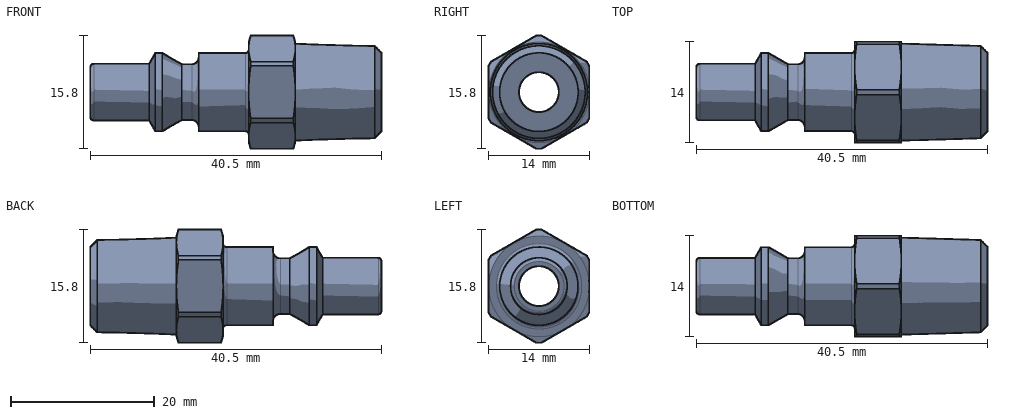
import cadquery as cq
import math

collar_start = 8.2
collar_rim_start = 9.05
collar_rim_end = 10.05
neck_start = 12.75
body_start = 15.05
hex_start = 22.05
hex_end = 28.5
total_length = 40.5

bore_radius = 5.5 / 2
nose_radius = 7.9 / 2
neck_radius = 3.9
body_radius = 10.9 / 2
thread_root_radius = 6.75
thread_end_radius = 6.45

nose_round = 0.5
neck_round = 0.97
shoulder_round = 0.5
thread_chamfer = 0.97

hex_across_flats = 14.0
hex_corner_diameter = 15.8
hex_chamfer_length = 0.3


def quarter_round_middle(center_x, center_r, radius, side_x, side_r):
    """Middle point of a quarter round lying on the given side of its centre."""
    offset = radius * math.sqrt(0.5)
    return (center_x + side_x * offset, center_r + side_r * offset)


def revolve_about_x(profile):
    return profile.close().revolve(360, (0, 0, 0), (1, 0, 0))


def make_turned_body():
    """Plug nose, collar, neck, cylindrical body and tapered thread blank."""
    nose_middle = quarter_round_middle(nose_round, nose_radius - nose_round, nose_round, -1, 1)
    neck_end = body_start - neck_round
    neck_middle = quarter_round_middle(neck_end, neck_radius + neck_round, neck_round, 1, -1)
    shoulder_start = hex_start - shoulder_round
    shoulder_radius = body_radius + shoulder_round
    shoulder_middle = quarter_round_middle(shoulder_start, shoulder_radius, shoulder_round, 1, -1)
    profile = (
        cq.Workplane("XY")
        .lineTo(0, nose_radius - nose_round)
        .threePointArc(nose_middle, (nose_round, nose_radius))
        .lineTo(collar_start, nose_radius)
        .lineTo(collar_rim_start, body_radius)
        .lineTo(collar_rim_end, body_radius)
        .lineTo(neck_start, neck_radius)
        .lineTo(neck_end, neck_radius)
        .threePointArc(neck_middle, (body_start, neck_radius + neck_round))
        .lineTo(body_start, body_radius)
        .lineTo(shoulder_start, body_radius)
        .threePointArc(shoulder_middle, (hex_start, shoulder_radius))
        .lineTo(hex_end, shoulder_radius)
        .lineTo(hex_end, thread_root_radius)
        .lineTo(total_length - thread_chamfer, thread_end_radius)
        .lineTo(total_length, thread_end_radius - thread_chamfer)
        .lineTo(total_length, 0)
    )
    return revolve_about_x(profile)


def make_hexagon():
    """Hexagon with corners up and down, turned corners and chamfered ends."""
    sharp_corner_diameter = hex_across_flats / math.cos(math.radians(30))
    prism = (
        cq.Workplane("YZ")
        .workplane(offset=hex_start)
        .transformed(rotate=(0, 0, 90))
        .polygon(6, sharp_corner_diameter)
        .extrude(hex_end - hex_start)
    )
    face_radius = hex_across_flats / 2
    corner_radius = hex_corner_diameter / 2
    envelope = revolve_about_x(
        cq.Workplane("XY")
        .moveTo(hex_start, 0)
        .lineTo(hex_start, face_radius)
        .lineTo(hex_start + hex_chamfer_length, corner_radius)
        .lineTo(hex_end - hex_chamfer_length, corner_radius)
        .lineTo(hex_end, face_radius)
        .lineTo(hex_end, 0)
    )
    return prism.intersect(envelope)


bore = cq.Workplane("YZ").circle(bore_radius).extrude(total_length)
result = make_turned_body().union(make_hexagon()).cut(bore)